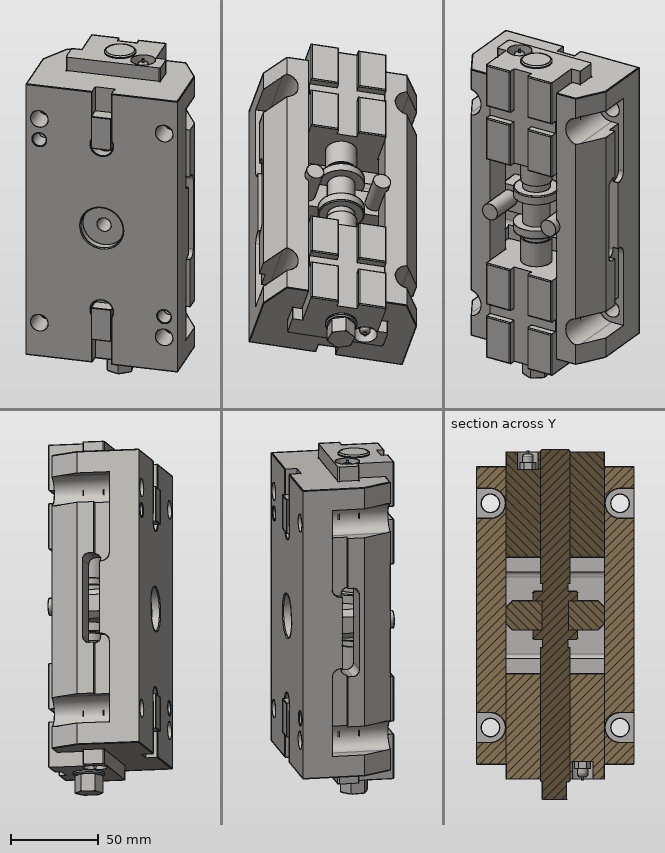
import cadquery as cq
import math

HOUSING_WIDTH = 90.0
HOUSING_HEIGHT = 53.0
HOUSING_LENGTH = 170.0
SHOULDER_Y = 36.0
SHOULDER_ANGLE = 30.0
END_CHAMFER = 0.5

FLANGE_WIDTH = 56.0
FLANGE_FLOOR_Y = 24.0
FLANGE_TOP_Y = 36.5
NECK_WIDTH = 44.8
JAW_NECK_WIDTH = 44.0

JAW_TOP_Y = 58.0
JAW_INNER_Z = 33.2
JAW_OUTER_Z = 93.5
JAW_FLANGE_LOWER_CHAMFER = 0.8
JAW_FLANGE_UPPER_CHAMFER = 0.5
JAW_TOP_CHAMFER = 0.5
JAW_GROOVE_FLOOR_Y = 53.5
JAW_GROOVE_WIDTH = 11.5
JAW_CROSS_SLOT_WIDTH = 7.5

SPINDLE_Y = 39.0
SPINDLE_DIAMETER = 18.0
SPINDLE_LENGTH = 200.0
SPINDLE_TOP_PROJECTION = 1.5
SPINDLE_BOTTOM_PROJECTION = 1.8
SPINDLE_END_CHAMFER = 0.8
RELIEF_DIAMETER = 16.0
RELIEF_END_Z = 18.2
COLLAR_DIAMETER = 26.5
COLLAR_END_Z = 13.8
COLLAR_CHAMFER = 0.5
HEX_ACROSS_FLATS = 14.0
HEX_TWIST = 7.0
HEX_CHAMFER = 0.5

BLOCK_HALF_THICKNESS = 8.5
BLOCK_CHAMFER = 3.5
BLOCK_FLOOR_Y = 23.0
PIN_DIAMETER = 10.0
PIN_X = 19.5
PIN_TOP_Y = 57.5

NIPPLE_X = 15.5
NIPPLE_Y = 32.0
NIPPLE_POCKET_DIAMETER = 14.0
NIPPLE_POCKET_DEPTH = 10.0
NIPPLE_TIP_PROJECTION = 0.5
NIPPLE_HEX_ACROSS_FLATS = 8.0
NIPPLE_HEX_HEIGHT = 4.0
NIPPLE_HEAD_DIAMETER = 6.0
NIPPLE_HEAD_RECESS = 1.2
NIPPLE_HEAD_FILLET = 1.5
NIPPLE_TIP_DIAMETER = 1.2

MOUNT_X = 37.0
MOUNT_Z = 64.0
MOUNT_DIAMETER = 10.5
HEAD_SLOT_WIDTH = 17.0
HEAD_SLOT_FLOOR_Y = 17.2

DOWEL_Z = 51.0
DOWEL_DIAMETER = 8.0
DOWEL_DEPTH = 12.0
DOWEL_CHAMFER = 0.5
DRILL_POINT_ANGLE = 118.0

WINDOW_Y = 28.0
WINDOW_WIDTH = 10.0
WINDOW_LENGTH = 52.0
WINDOW_CORNER_RADIUS = 4.0
RECESS_TOP_Y = 26.5
RECESS_INNER_Z = 21.0
RECESS_DEPTH = 3.5
RECESS_CORNER_RADIUS = 5.0

CENTRE_RECESS_DIAMETER = 25.0
CENTRE_RECESS_CHAMFER = 0.5
CENTRE_RECESS_DEPTH = 5.0
CENTRE_HOLE_DIAMETER = 8.5

KEY_WIDTH = 11.5
KEY_LENGTH = 20.0
KEY_INNER_Z = 50.0
KEY_PROJECTION = 1.5
KEY_CHAMFER = 0.3
KEYWAY_DEPTH = 7.0
KEYWAY_RELIEF_DIAMETER = 13.2
KEYWAY_CHAMFER = 0.5
KEYWAY_RELIEF_Z = 52.0

HALF_LENGTH = HOUSING_LENGTH / 2
HALF_WIDTH = HOUSING_WIDTH / 2
SIDES = (-1, 1)


def box(x_range, y_range, z_range):
    """Box between the given limits on each axis."""
    (x0, x1), (y0, y1), (z0, z1) = x_range, y_range, z_range
    return cq.Workplane("XY").box(x1 - x0, y1 - y0, z1 - z0, centered=False).translate((x0, y0, z0))


def rod_z(x, y, z_start, z_end, diameter):
    """Cylinder along Z."""
    return cq.Workplane("XY", origin=(x, y, z_start)).circle(diameter / 2).extrude(z_end - z_start)


def rod_y(x, z, y_start, y_end, diameter):
    """Cylinder along Y."""
    return cq.Workplane("XZ", origin=(x, y_start, z)).circle(diameter / 2).extrude(y_start - y_end)


def hex_corner_diameter(across_flats):
    """Diameter of the circle through the corners of a hexagon."""
    return across_flats / math.cos(math.pi / 6)


def hex_prism(x, y, z_start, z_end, across_flats, turn=0):
    """Hexagonal prism along Z with a corner on +X, turned by the given degrees."""
    return (
        cq.Workplane("XY", origin=(x, y, z_start))
        .transformed(rotate=(0, 0, turn))
        .polygon(6, hex_corner_diameter(across_flats))
        .extrude(z_end - z_start)
    )


def tee(neck_width, top_y, z_start, z_end):
    """Upright T section, flange down, extruded along Z."""
    flange = box((-FLANGE_WIDTH / 2, FLANGE_WIDTH / 2), (FLANGE_FLOOR_Y, FLANGE_TOP_Y), (z_start, z_end))
    neck = box((-neck_width / 2, neck_width / 2), (FLANGE_FLOOR_Y, top_y), (z_start, z_end))
    return flange.union(neck)


def centre_block_blank():
    """Flange-wide block with bevelled ends carrying two upright round pins."""
    block = box(
        (-FLANGE_WIDTH / 2, FLANGE_WIDTH / 2),
        (BLOCK_FLOOR_Y, FLANGE_TOP_Y),
        (-BLOCK_HALF_THICKNESS, BLOCK_HALF_THICKNESS),
    )
    block = block.edges("|Y").chamfer(BLOCK_CHAMFER)
    for side in SIDES:
        block = block.union(rod_y(side * PIN_X, 0, BLOCK_FLOOR_Y, PIN_TOP_Y, PIN_DIAMETER))
    return block


def centre_hole():
    """Hole through the housing floor and the centre block, as far as the spindle axis."""
    return rod_y(0, 0, 0, SPINDLE_Y, CENTRE_HOLE_DIAMETER)


def centre_recess():
    """Round recess with a chamfered mouth in the housing underside."""
    recess = rod_y(0, 0, 0, CENTRE_RECESS_DEPTH, CENTRE_RECESS_DIAMETER)
    mouth_diameter = CENTRE_RECESS_DIAMETER + 2 * CENTRE_RECESS_CHAMFER
    mouth = cq.Workplane("XZ").circle(mouth_diameter / 2).extrude(-CENTRE_RECESS_CHAMFER, taper=45)
    return recess.union(mouth)


def make_centre_block():
    """Centre block with the spindle bore and the hole from the housing underside."""
    bore = rod_z(0, SPINDLE_Y, -BLOCK_HALF_THICKNESS, BLOCK_HALF_THICKNESS, RELIEF_DIAMETER)
    return centre_block_blank().cut(bore).cut(centre_hole())


def make_key(side):
    """One key, resting on the floor of its keyway."""
    z_range = sorted((side * KEY_INNER_Z, side * (KEY_INNER_Z + KEY_LENGTH)))
    key = box((-KEY_WIDTH / 2, KEY_WIDTH / 2), (-KEY_PROJECTION, KEYWAY_DEPTH), z_range)
    return key.faces("<Y").edges().chamfer(KEY_CHAMFER)


def keyway(side):
    """Slot open at the housing end, with a wider round inner end."""
    z_range = sorted((side * KEYWAY_RELIEF_Z, side * HALF_LENGTH))
    slot = box((-KEY_WIDTH / 2, KEY_WIDTH / 2), (0, KEYWAY_DEPTH), z_range)
    relief = rod_y(0, side * KEYWAY_RELIEF_Z, 0, KEYWAY_DEPTH, KEYWAY_RELIEF_DIAMETER)
    keyway_void = slot.union(relief)
    widened_mouth = (
        cq.Workplane("XZ")
        .add(keyway_void.faces("<Y").wires().vals())
        .toPending()
        .offset2D(KEYWAY_CHAMFER)
        .extrude(-KEYWAY_CHAMFER, taper=45)
    )
    return keyway_void.union(widened_mouth)


def mounting_cut(x_side, z_side):
    """Through hole with a head slot open to the side and to the top."""
    x = x_side * MOUNT_X
    z = z_side * MOUNT_Z
    hole = rod_y(x, z, 0, HOUSING_HEIGHT, MOUNT_DIAMETER)
    head = rod_y(x, z, HEAD_SLOT_FLOOR_Y, HOUSING_HEIGHT, HEAD_SLOT_WIDTH)
    mouth = box(
        sorted((x, x_side * HALF_WIDTH)),
        (HEAD_SLOT_FLOOR_Y, HOUSING_HEIGHT),
        (z - HEAD_SLOT_WIDTH / 2, z + HEAD_SLOT_WIDTH / 2),
    )
    return hole.union(head).union(mouth)


def side_recess(x_side, z_side):
    """Shallow side pocket from a head slot towards the window, with one round corner."""
    recess = box(
        sorted((x_side * (HALF_WIDTH - RECESS_DEPTH), x_side * HALF_WIDTH)),
        (HEAD_SLOT_FLOOR_Y, RECESS_TOP_Y),
        sorted((z_side * RECESS_INNER_Z, z_side * MOUNT_Z)),
    )
    inner_end = "<Z" if z_side > 0 else ">Z"
    return recess.faces(inner_end).edges("<Y").fillet(RECESS_CORNER_RADIUS)


def dowel_hole(side):
    """Blind hole with a drill point and a chamfered mouth, revolved about its axis."""
    radius = DOWEL_DIAMETER / 2
    point = radius / math.tan(math.radians(DRILL_POINT_ANGLE / 2))
    profile = [
        (0, 0),
        (radius + DOWEL_CHAMFER, 0),
        (radius, DOWEL_CHAMFER),
        (radius, DOWEL_DEPTH),
        (0, DOWEL_DEPTH + point),
    ]
    hole = cq.Workplane("XY").polyline(profile).close().revolve(360, (0, 0, 0), (0, 1, 0))
    return hole.translate((side * MOUNT_X, 0, -side * DOWEL_Z))


def make_housing():
    """Housing block with its T-slot, side windows, holes, recesses and keyways."""
    shoulder_inset = (HOUSING_HEIGHT - SHOULDER_Y) * math.tan(math.radians(SHOULDER_ANGLE))
    top_half_width = HALF_WIDTH - shoulder_inset
    outline = [
        (-HALF_WIDTH, 0),
        (HALF_WIDTH, 0),
        (HALF_WIDTH, SHOULDER_Y),
        (top_half_width, HOUSING_HEIGHT),
        (-top_half_width, HOUSING_HEIGHT),
        (-HALF_WIDTH, SHOULDER_Y),
    ]
    lower_end = cq.Workplane("XY", origin=(0, 0, -HALF_LENGTH))
    housing = lower_end.polyline(outline).close().extrude(HOUSING_LENGTH)
    housing = housing.faces("|Z").edges().chamfer(END_CHAMFER)
    housing = housing.cut(tee(NECK_WIDTH, HOUSING_HEIGHT, -HALF_LENGTH, HALF_LENGTH))
    housing = housing.cut(centre_block_blank())

    window = (
        cq.Workplane("YZ", origin=(-HALF_WIDTH, WINDOW_Y, 0))
        .rect(WINDOW_WIDTH, WINDOW_LENGTH)
        .extrude(HOUSING_WIDTH)
        .edges("|X")
        .fillet(WINDOW_CORNER_RADIUS)
    )
    housing = housing.cut(window)

    for x_side in SIDES:
        for z_side in SIDES:
            housing = housing.cut(mounting_cut(x_side, z_side))
            housing = housing.cut(side_recess(x_side, z_side))

    for side in SIDES:
        housing = housing.cut(dowel_hole(side))
        housing = housing.cut(keyway(side))

    return housing.cut(centre_recess()).cut(centre_hole())


def make_jaw():
    """Upper jaw; the lower one is this body turned half round the Y axis."""
    jaw = tee(JAW_NECK_WIDTH, JAW_TOP_Y, JAW_INNER_Z, JAW_OUTER_Z)
    jaw = jaw.faces("<Y").edges("|Z").chamfer(JAW_FLANGE_LOWER_CHAMFER)
    for flange_side in ("<X", ">X"):
        jaw = jaw.faces(flange_side).edges(">Y").chamfer(JAW_FLANGE_UPPER_CHAMFER)
    groove = box(
        (-JAW_GROOVE_WIDTH / 2, JAW_GROOVE_WIDTH / 2),
        (JAW_GROOVE_FLOOR_Y, JAW_TOP_Y),
        (JAW_INNER_Z, JAW_OUTER_Z),
    )
    middle_z = (JAW_INNER_Z + JAW_OUTER_Z) / 2
    cross_slot = box(
        (-JAW_NECK_WIDTH / 2, JAW_NECK_WIDTH / 2),
        (JAW_GROOVE_FLOOR_Y, JAW_TOP_Y),
        (middle_z - JAW_CROSS_SLOT_WIDTH / 2, middle_z + JAW_CROSS_SLOT_WIDTH / 2),
    )
    jaw = jaw.cut(groove).cut(cross_slot)
    jaw = jaw.faces(">Y").edges().chamfer(JAW_TOP_CHAMFER)
    jaw = jaw.cut(rod_z(0, SPINDLE_Y, JAW_INNER_Z, JAW_OUTER_Z, SPINDLE_DIAMETER))
    pocket_floor_z = JAW_OUTER_Z - NIPPLE_POCKET_DEPTH
    return jaw.cut(rod_z(NIPPLE_X, NIPPLE_Y, pocket_floor_z, JAW_OUTER_Z, NIPPLE_POCKET_DIAMETER))


def make_nipple():
    """Upper grease nipple: hexagon, round head and small tip; the lower one is its half turn."""
    floor_z = JAW_OUTER_Z - NIPPLE_POCKET_DEPTH
    head_z = JAW_OUTER_Z - NIPPLE_HEAD_RECESS
    tip_z = JAW_OUTER_Z + NIPPLE_TIP_PROJECTION
    base = hex_prism(NIPPLE_X, NIPPLE_Y, floor_z, floor_z + NIPPLE_HEX_HEIGHT, NIPPLE_HEX_ACROSS_FLATS)
    head = rod_z(NIPPLE_X, NIPPLE_Y, floor_z, head_z, NIPPLE_HEAD_DIAMETER)
    head = head.faces(">Z").edges().fillet(NIPPLE_HEAD_FILLET)
    tip = rod_z(NIPPLE_X, NIPPLE_Y, floor_z, tip_z, NIPPLE_TIP_DIAMETER)
    return base.union(head).union(tip)


def make_spindle():
    """Spindle with two thrust collars, a thinner waist and a hexagonal drive at the lower end."""
    top_z = JAW_OUTER_Z + SPINDLE_TOP_PROJECTION
    shoulder_z = -(JAW_OUTER_Z + SPINDLE_BOTTOM_PROJECTION)
    hex_end_z = top_z - SPINDLE_LENGTH
    spindle = rod_z(0, SPINDLE_Y, shoulder_z, top_z, SPINDLE_DIAMETER)
    spindle = spindle.faces("|Z").chamfer(SPINDLE_END_CHAMFER)
    waist = rod_z(0, SPINDLE_Y, -RELIEF_END_Z, RELIEF_END_Z, SPINDLE_DIAMETER)
    spindle = spindle.cut(waist).union(rod_z(0, SPINDLE_Y, -RELIEF_END_Z, RELIEF_END_Z, RELIEF_DIAMETER))
    for side, outer_end in ((1, ">Z"), (-1, "<Z")):
        z_start, z_end = sorted((side * BLOCK_HALF_THICKNESS, side * COLLAR_END_Z))
        collar = rod_z(0, SPINDLE_Y, z_start, z_end, COLLAR_DIAMETER)
        spindle = spindle.union(collar.faces(outer_end).chamfer(COLLAR_CHAMFER))

    hexagon = hex_prism(0, SPINDLE_Y, hex_end_z, shoulder_z, HEX_ACROSS_FLATS, 90 + HEX_TWIST)
    bevel = rod_z(0, SPINDLE_Y, hex_end_z, shoulder_z, hex_corner_diameter(HEX_ACROSS_FLATS))
    bevel = bevel.faces("<Z").chamfer(HEX_CHAMFER)
    return spindle.union(hexagon.intersect(bevel))


def half_turn(body):
    """Copy of a body turned half round the Y axis."""
    return body.rotate((0, 0, 0), (0, 1, 0), 180)


housing = make_housing()
centre_block = make_centre_block()
spindle = make_spindle()
keys = [make_key(side) for side in SIDES]
upper_jaw = make_jaw()
jaws = [upper_jaw, half_turn(upper_jaw)]
upper_nipple = make_nipple()
nipples = [upper_nipple, half_turn(upper_nipple)]

bodies = [housing, centre_block, spindle, *keys, *jaws, *nipples]
result = cq.Compound.makeCompound([body.solids().val() for body in bodies])